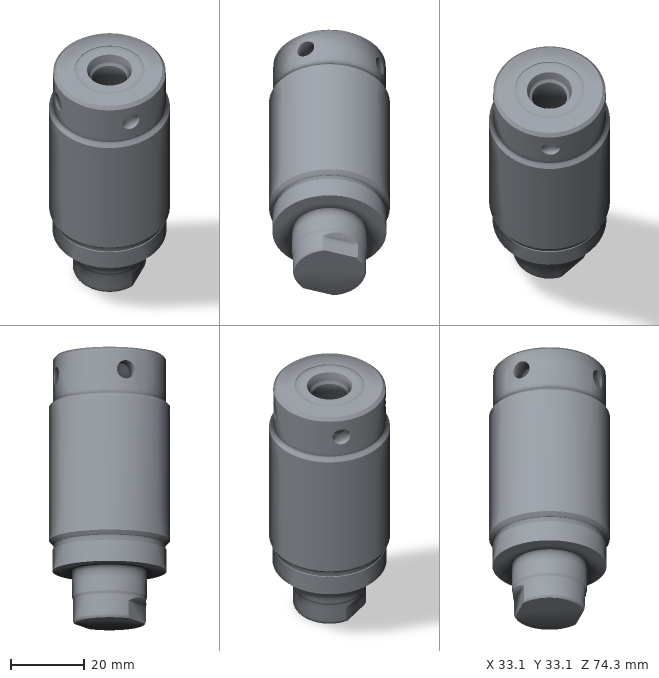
import cadquery as cq

total_height = 74.3
nose_round_height = 1.05
neck_taper_bottom = 6.7
neck_taper_top = 7.35
flange_bottom = 14.55
flange_top = 20.4
shoulder_bottom = 21.9
shoulder_top = 61.5

body_radius = 16.53
head_radius = 15.4
flange_radius = 15.6
groove_radius = 15.3
neck_radius = 10.25
nose_radius = 10.0
nose_end_radius = 9.65
head_chamfer = 0.9
shoulder_chamfer = body_radius - head_radius

flat_distance = 8.6
flat_height = 4.9

insert_radius = 9.5
insert_recess = 0.2
seat_rim_radius = 6.2
seat_mid_radius = 5.95
seat_bottom_radius = 5.5
seat_depth = 2.3
bore_radius = 4.8
bore_depth = 14.85

hole_count = 4
first_hole_angle = 45.0
hole_diameter = 5.05
hole_height = 68.0
hole_floor_radius = 10.6


def make_body():
    """Revolve the outer profile, traced from the top axis point down."""
    return (
        cq.Workplane("XZ")
        .moveTo(0, total_height)
        .lineTo(head_radius - head_chamfer, total_height)
        .lineTo(head_radius, total_height - head_chamfer)
        .lineTo(head_radius, shoulder_top)
        .lineTo(body_radius, shoulder_top - shoulder_chamfer)
        .lineTo(body_radius, shoulder_bottom + shoulder_chamfer)
        .lineTo(head_radius, shoulder_bottom)
        .lineTo(groove_radius, shoulder_bottom)
        .lineTo(groove_radius, flange_top)
        .lineTo(flange_radius, flange_top)
        .lineTo(flange_radius, flange_bottom)
        .lineTo(neck_radius, flange_bottom)
        .lineTo(neck_radius, neck_taper_top)
        .lineTo(nose_radius, neck_taper_bottom)
        .lineTo(nose_radius, nose_round_height)
        .tangentArcPoint((nose_end_radius, 0), relative=False)
        .lineTo(0, 0)
        .close()
        .revolve(360, (0, 0, 0), (0, 1, 0))
    )


def make_bore():
    """Revolve the recess, the curved seat, its 45 degree step and the bore."""
    recess_floor = total_height - insert_recess
    seat_bottom = recess_floor - seat_depth
    step_bottom = seat_bottom - (seat_bottom_radius - bore_radius)
    return (
        cq.Workplane("XZ")
        .moveTo(0, total_height)
        .lineTo(insert_radius, total_height)
        .lineTo(insert_radius, recess_floor)
        .lineTo(seat_rim_radius, recess_floor)
        .threePointArc(
            (seat_mid_radius, recess_floor - seat_depth / 2),
            (seat_bottom_radius, seat_bottom),
        )
        .lineTo(bore_radius, step_bottom)
        .lineTo(bore_radius, total_height - bore_depth)
        .lineTo(0, total_height - bore_depth)
        .close()
        .revolve(360, (0, 0, 0), (0, 1, 0))
    )


def make_flat_cut():
    """Cut for the +X flat, ending at the top in a 45 degree slope."""
    slope_rise = neck_radius - flat_distance
    return (
        cq.Workplane("XZ")
        .moveTo(flat_distance, 0)
        .lineTo(flat_distance, flat_height)
        .lineTo(neck_radius, flat_height + slope_rise)
        .lineTo(neck_radius, 0)
        .close()
        .extrude(neck_radius, both=True)
    )


def make_spanner_hole(angle):
    """Flat-bottomed radial hole at the given angle from +X."""
    return (
        cq.Workplane("YZ", origin=(hole_floor_radius, 0, 0))
        .center(0, hole_height)
        .circle(hole_diameter / 2)
        .extrude(body_radius - hole_floor_radius)
        .rotate((0, 0, 0), (0, 0, 1), angle)
    )


result = make_body().cut(make_bore())

flat_cut = make_flat_cut()
result = result.cut(flat_cut).cut(flat_cut.mirror("YZ"))

for index in range(hole_count):
    hole_angle = first_hole_angle + index * 360 / hole_count
    result = result.cut(make_spanner_hole(hole_angle))